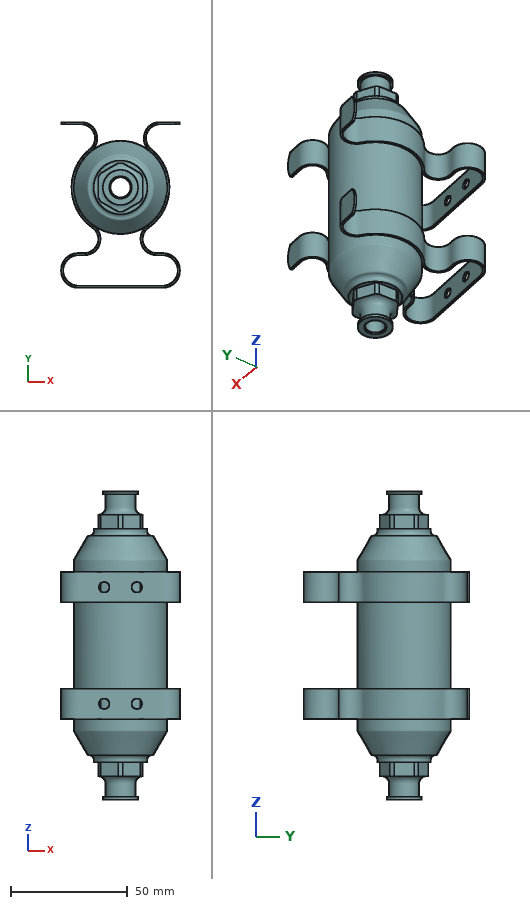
import cadquery as cq
import math

HALF_LENGTH = 66.0
BODY_RADIUS = 40.0 / 2
BODY_HALF_LENGTH = 36.5
CONE_HALF_ANGLE = 30.0
CONE_BASE_ROUND = 1.0
CONE_TOP_Z = 47.0
CONE_TOP_ROUND = 1.0
RING_RADIUS = 23.0 / 2
RING_FILLET = 1.8
HEX_BASE_Z = 50.0
HEX_TOP_Z = 56.0
HEX_FLATS = 19.0
HEX_CORNER_RADIUS = 10.4
NECK_RADIUS = 13.0 / 2
NECK_FILLET = 3.0
FLANGE_RADIUS = 15.0 / 2
FLANGE_THICKNESS = 1.3
BORE_DIAMETER = 8.6
BORE_CHAMFER = 0.5

STRIP_THICKNESS = 1.0
STRIP_WIDTH = 13.1
CLIP_OFFSET_Z = 25.0
CLIP_HALF_SPAN = 25.5
CLIP_BACK_Y = 28.0
CLIP_BASE_Y = -43.0
BEND_RADIUS = 6.5
LOOP_RADIUS = 7.0
TAB_END_RADIUS = 13.1
SCREW_HOLE_DIAMETER = 4.5
SCREW_HOLE_SPACING = 14.0
JOIN_TOLERANCE = 0.001


def make_shell():
    """Cylinder with a cone at each end, its edges rounded."""
    cone_height = CONE_TOP_Z - BODY_HALF_LENGTH
    cone_top_radius = BODY_RADIUS - cone_height * math.tan(math.radians(CONE_HALF_ANGLE))
    shell = (
        cq.Workplane("XZ")
        .moveTo(0, -CONE_TOP_Z)
        .lineTo(cone_top_radius, -CONE_TOP_Z)
        .lineTo(BODY_RADIUS, -BODY_HALF_LENGTH)
        .lineTo(BODY_RADIUS, BODY_HALF_LENGTH)
        .lineTo(cone_top_radius, CONE_TOP_Z)
        .lineTo(0, CONE_TOP_Z)
        .close()
        .revolve(360, (0, 0, 0), (0, 1, 0))
    )
    shell = shell.faces("|Z").edges().fillet(CONE_TOP_ROUND)
    cone_base_edges = cq.selectors.RadiusNthSelector(-1)
    return shell.edges("%CIRCLE").edges(cone_base_edges).fillet(CONE_BASE_ROUND)


def end_fitting():
    """Ring, hexagon, neck and flange on the upper end of the shell."""
    ring = flared_post(RING_RADIUS, RING_FILLET, CONE_TOP_Z, HEX_BASE_Z)
    neck = flared_post(NECK_RADIUS, NECK_FILLET, HEX_TOP_Z, HALF_LENGTH)
    flange = (
        cq.Workplane("XY", origin=(0, 0, HALF_LENGTH - FLANGE_THICKNESS))
        .circle(FLANGE_RADIUS)
        .extrude(FLANGE_THICKNESS)
    )
    return ring.union(hexagon()).union(neck).union(flange)


def flared_post(radius, fillet, bottom, top):
    """Round post whose foot widens in a concave quarter-circle fillet."""
    fillet_mid = fillet * (1 - math.sqrt(0.5))
    return (
        cq.Workplane("XZ")
        .moveTo(0, bottom)
        .lineTo(radius + fillet, bottom)
        .threePointArc((radius + fillet_mid, bottom + fillet_mid), (radius, bottom + fillet))
        .lineTo(radius, top)
        .lineTo(0, top)
        .close()
        .revolve(360, (0, 0, 0), (0, 1, 0))
    )


def hexagon():
    """Wrench hexagon with turned corners and two flats facing -X and +X."""
    height = HEX_TOP_Z - HEX_BASE_Z
    plane = cq.Workplane("XY", origin=(0, 0, HEX_BASE_Z))
    prism = plane.polygon(6, HEX_FLATS, circumscribed=True).extrude(height)
    return prism.intersect(plane.circle(HEX_CORNER_RADIUS).extrude(height))


def make_canister():
    fitting = end_fitting()
    canister = make_shell().union(fitting).union(fitting.mirror("XY"))
    bore = (
        cq.Workplane("XY", origin=(0, 0, -HALF_LENGTH))
        .circle(BORE_DIAMETER / 2)
        .extrude(2 * HALF_LENGTH)
    )
    bore_rims = cq.selectors.RadiusNthSelector(0)
    return canister.cut(bore).faces("<Z or >Z").edges(bore_rims).chamfer(BORE_CHAMFER)


LOOP_CENTER = (
    CLIP_HALF_SPAN - STRIP_THICKNESS / 2 - LOOP_RADIUS,
    CLIP_BASE_Y + STRIP_THICKNESS / 2 + LOOP_RADIUS,
)
WRAP_RADIUS = BODY_RADIUS + STRIP_THICKNESS / 2


def bend_center(y):
    """Centre, at the given Y, of a bend that touches the wrap round the canister."""
    return (math.sqrt((WRAP_RADIUS + BEND_RADIUS) ** 2 - y**2), y)


LOWER_BEND_CENTER = bend_center(LOOP_CENTER[1] + LOOP_RADIUS + BEND_RADIUS)
UPPER_BEND_CENTER = bend_center(CLIP_BACK_Y - STRIP_THICKNESS / 2 - BEND_RADIUS)


def strip_bends():
    """Bends of the +X half, from base to tab: centre, midline radius, start and end angle."""
    lower_contact = math.atan2(LOWER_BEND_CENTER[1], LOWER_BEND_CENTER[0])
    upper_contact = math.atan2(UPPER_BEND_CENTER[1], UPPER_BEND_CENTER[0])
    quarter = math.pi / 2
    return [
        (LOOP_CENTER, LOOP_RADIUS, -quarter, quarter),
        (LOWER_BEND_CENTER, BEND_RADIUS, -quarter, lower_contact - math.pi),
        ((0, 0), WRAP_RADIUS, lower_contact, upper_contact),
        (UPPER_BEND_CENTER, BEND_RADIUS, upper_contact + math.pi, quarter),
    ]


def point_at(center, radius, angle):
    return (center[0] + radius * math.cos(angle), center[1] + radius * math.sin(angle))


def strip_side_arcs(offset):
    """Start, middle and end point of each bend on the side `offset` to the right of the midline."""
    arcs = []
    for center, radius, start, end in strip_bends():
        turns_left = end > start
        side_radius = radius + offset if turns_left else radius - offset
        arcs.append([point_at(center, side_radius, a) for a in (start, (start + end) / 2, end)])
    return arcs


def draw_arcs(outline, arcs):
    """Add the arcs to the outline, with a straight piece up to any arc that starts elsewhere."""
    position = None
    for start, middle, end in arcs:
        if position is None or math.dist(position, start) > JOIN_TOLERANCE:
            outline = outline.lineTo(*start)
        outline = outline.threePointArc(middle, end)
        position = end
    return outline


def half_strip():
    """Base, loop, bends and wrap of the +X half, standing on its lower edge at Z = 0."""
    half_thickness = STRIP_THICKNESS / 2
    outer_arcs = strip_side_arcs(half_thickness)
    inner_arcs = [arc[::-1] for arc in reversed(strip_side_arcs(-half_thickness))]
    outline = cq.Workplane("XY").moveTo(0, CLIP_BASE_Y)
    outline = draw_arcs(outline, outer_arcs)
    outline = draw_arcs(outline, inner_arcs)
    return outline.lineTo(0, CLIP_BASE_Y + STRIP_THICKNESS).close().extrude(STRIP_WIDTH)


def tab():
    """Flat free end of the +X half, rounded at its tip."""
    start_x = UPPER_BEND_CENTER[0]
    tip_x = CLIP_HALF_SPAN
    corner_x = tip_x - TAB_END_RADIUS + math.sqrt(TAB_END_RADIUS**2 - (STRIP_WIDTH / 2) ** 2)
    return (
        cq.Workplane("XZ", origin=(0, CLIP_BACK_Y, 0))
        .moveTo(start_x, 0)
        .lineTo(corner_x, 0)
        .threePointArc((tip_x, STRIP_WIDTH / 2), (corner_x, STRIP_WIDTH))
        .lineTo(start_x, STRIP_WIDTH)
        .close()
        .extrude(STRIP_THICKNESS)
    )


def screw_holes():
    return (
        cq.Workplane("XZ", origin=(0, CLIP_BASE_Y + STRIP_THICKNESS, STRIP_WIDTH / 2))
        .pushPoints([(-SCREW_HOLE_SPACING / 2, 0), (SCREW_HOLE_SPACING / 2, 0)])
        .circle(SCREW_HOLE_DIAMETER / 2)
        .extrude(STRIP_THICKNESS)
    )


def make_clip(center_z):
    half = half_strip().union(tab())
    clip = half.union(half.mirror("YZ")).cut(screw_holes())
    return clip.translate((0, 0, center_z - STRIP_WIDTH / 2))


canister = make_canister()
clips = [make_clip(center_z) for center_z in (-CLIP_OFFSET_Z, CLIP_OFFSET_Z)]

result = cq.Compound.makeCompound([canister.val(), *[clip.val() for clip in clips]])